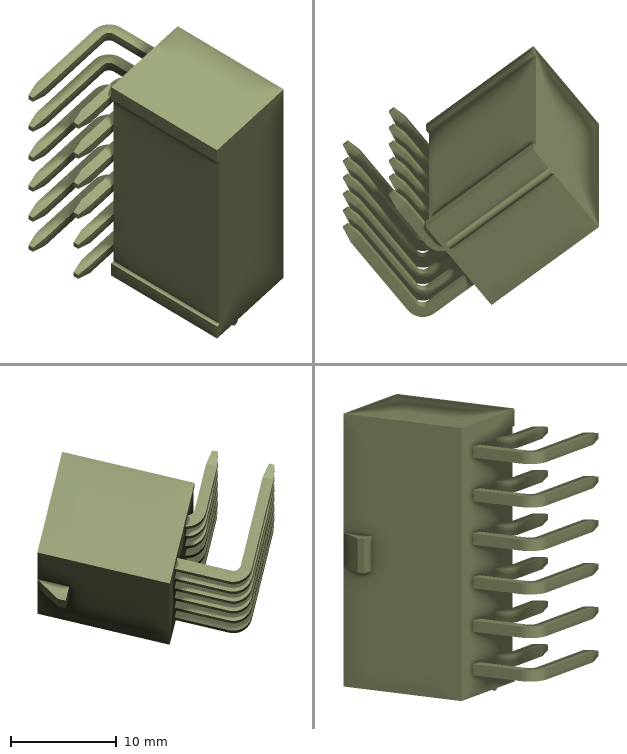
import cadquery as cq

body_length = 12.86
body_depth = 10.02
body_height = 26.4

rail_height = 1.7
recess_depth = 0.4

latch_length = 3.08
latch_flat = 0.75
latch_rise = 1.4
latch_height = 3.32

rib_radius = 0.4
rib_setback = 0.5
rib_from_front = 2.73

pins_per_row = 6
pin_pitch = 4.2
pin_width = 1.07
pin_bend_radius = 1.8
pin_anchor = pin_bend_radius
row_spacing_x = 5.5
row_spacing_y = pin_pitch
outer_reach = 7.08
outer_row_drop = 1.98
pin_protrusion = 4.0
tip_length = 1.5
tip_width = 0.55

back_y = body_depth
pin_end_y = -pin_protrusion
shoulder_y = pin_end_y + tip_length
first_pin_z = (body_height - (pins_per_row - 1) * pin_pitch) / 2


def make_housing():
    """Block with the recess running its full length."""
    block = cq.Workplane("XY").box(body_length, body_depth, body_height, centered=False)
    recess = (
        cq.Workplane("XY")
        .box(body_length, recess_depth, body_height - 2 * rail_height, centered=False)
        .translate((0, 0, rail_height))
    )
    return block.cut(recess)


def make_latch():
    """Ramp that rises from the mating end to a flat and a square catch."""
    catch_x = body_length - latch_length
    return (
        cq.Workplane("XY", origin=(0, 0, (body_height - latch_height) / 2))
        .moveTo(catch_x, back_y)
        .lineTo(catch_x, back_y + latch_rise)
        .lineTo(catch_x + latch_flat, back_y + latch_rise)
        .lineTo(body_length, back_y)
        .close()
        .extrude(latch_height)
    )


def make_rib():
    """Cylinder centred on the bottom face, its upper half lying inside the housing."""
    return (
        cq.Workplane("YZ", origin=(rib_setback, 0, 0))
        .center(rib_from_front, 0)
        .circle(rib_radius)
        .extrude(body_length - rib_setback)
    )


def make_pin(reach, top_y, center_z):
    """Pin that leaves the housing along -X, bends to -Y and ends in a tapered tip."""
    outer_x = -reach
    inner_x = outer_x + pin_width
    elbow = (
        cq.Workplane("XY", origin=(0, 0, center_z - pin_width / 2))
        .moveTo(pin_anchor, top_y)
        .lineTo(outer_x + pin_bend_radius, top_y)
        .radiusArc((outer_x, top_y - pin_bend_radius), -pin_bend_radius)
        .lineTo(outer_x, shoulder_y)
        .lineTo(inner_x, shoulder_y)
        .lineTo(inner_x, top_y - pin_bend_radius)
        .radiusArc((outer_x + pin_bend_radius, top_y - pin_width), pin_bend_radius - pin_width)
        .lineTo(pin_anchor, top_y - pin_width)
        .close()
        .extrude(pin_width)
    )
    tip = (
        cq.Workplane("XZ", origin=(outer_x + pin_width / 2, shoulder_y, center_z))
        .rect(pin_width, pin_width)
        .workplane(offset=tip_length)
        .rect(tip_width, tip_width)
        .loft(combine=True)
    )
    return elbow.union(tip)


result = make_housing().union(make_latch()).union(make_rib())

outer_top_y = back_y - outer_row_drop
for index in range(pins_per_row):
    pin_z = first_pin_z + index * pin_pitch
    result = result.union(make_pin(outer_reach, outer_top_y, pin_z))
    result = result.union(make_pin(outer_reach - row_spacing_x, outer_top_y - row_spacing_y, pin_z))